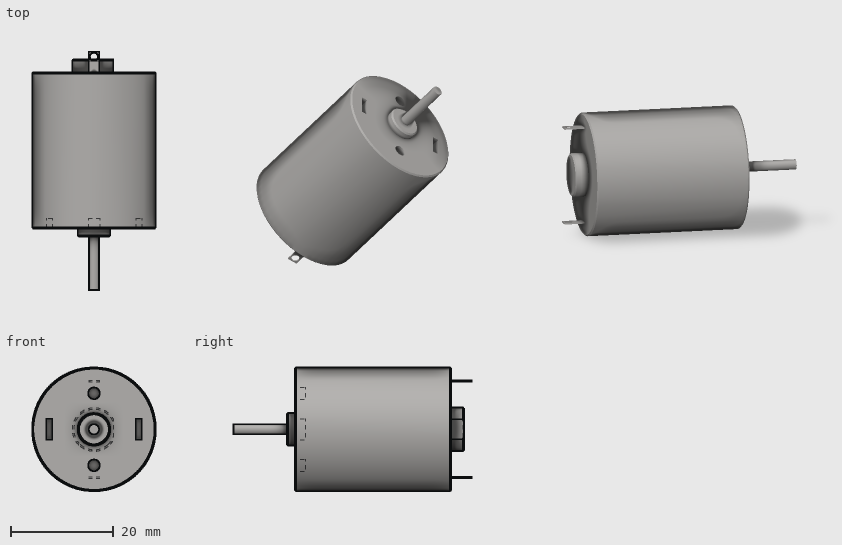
import cadquery as cq

total_length = 46.5
can_diameter = 24.2
can_length = 30.5
edge_chamfer = 0.3

front_boss_diameter = 6.35
front_boss_length = 1.6
shaft_diameter = 2.0

rear_boss_diameter = 8.5
rear_boss_length = 2.5
rear_boss_flat_x = 3.75

mount_hole_diameter = 2.3
mount_hole_offset = 7.0
slot_width = 1.2
slot_height = 4.05
slot_offset = 8.75
front_recess_depth = 2.0

terminal_length = 4.0
terminal_width = 2.1
terminal_thickness = 0.3
terminal_offset = 9.45
terminal_hole_diameter = 1.6
terminal_hole_to_tip = 1.0

shaft_length = total_length - can_length - terminal_length


def rod(diameter, start_y, length):
    """Cylinder on the motor axis, reaching from start_y toward +Y."""
    return cq.Workplane("XZ", origin=(0, start_y, 0)).circle(diameter / 2).extrude(-length)


def can():
    return rod(can_diameter, 0, can_length).edges().chamfer(edge_chamfer)


def front_boss():
    boss = rod(front_boss_diameter, -front_boss_length, front_boss_length)
    return boss.faces("<Y").edges().chamfer(edge_chamfer)


def rear_boss():
    """Rear bearing boss with a flat on its +X side."""
    boss = rod(rear_boss_diameter, can_length, rear_boss_length)
    boss = boss.faces(">Y").edges().chamfer(edge_chamfer)
    beyond_flat = cq.Workplane("XY").box(
        rear_boss_diameter, total_length, rear_boss_diameter, centered=(False, False, True)
    ).translate((rear_boss_flat_x, 0, 0))
    return boss.cut(beyond_flat)


def front_recesses():
    """Two round mounting holes and two vent slots, sunk into the front face."""
    front_face = cq.Workplane("XZ")
    holes = front_face.pushPoints([(0, -mount_hole_offset), (0, mount_hole_offset)])
    holes = holes.circle(mount_hole_diameter / 2).extrude(-front_recess_depth)
    slots = front_face.pushPoints([(-slot_offset, 0), (slot_offset, 0)])
    slots = slots.rect(slot_width, slot_height).extrude(-front_recess_depth)
    return holes.union(slots)


def terminal(center_z):
    """Flat solder tab on the rear face, with a wire hole near its tip."""
    tab = cq.Workplane("XY").box(
        terminal_width, terminal_length, terminal_thickness, centered=(True, False, True)
    )
    hole = cq.Workplane("XY").center(0, terminal_length - terminal_hole_to_tip)
    hole = hole.circle(terminal_hole_diameter / 2).extrude(terminal_thickness, both=True)
    return tab.cut(hole).translate((0, can_length, center_z))


result = can().cut(front_recesses())
result = result.union(front_boss()).union(rear_boss())
result = result.union(rod(shaft_diameter, -shaft_length, shaft_length))
for side in (-1, 1):
    result = result.union(terminal(side * terminal_offset))